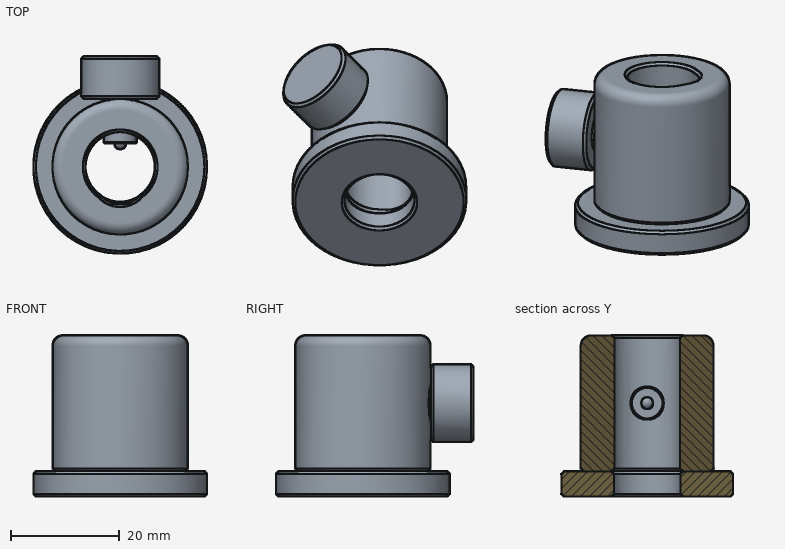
import cadquery as cq
import math

edge_chamfer = 0.5

flange_radius = 16.0
flange_thickness = 4.7
flange_bore_radius = 6.45

housing_radius = 12.47
housing_height = 25.02
housing_top_fillet = 2.0

bore_radius = 6.35
lobe_radius = 4.75
lobe_offset = 2.15

knob_radius = 7.2
knob_outer_y = 20.35
knob_length = 7.85
pin_radius = 3.05
pin_chamfer = 0.22
pin_end_y = 4.3
ball_radius = 1.1

seat_rim_radius = 3.42

screw_z = flange_thickness + housing_height / 2
knob_inner_y = knob_outer_y - knob_length
seat_tip_y = knob_inner_y - (seat_rim_radius - pin_radius)


def disc(radius, height, base_z):
    """Upright cylinder on the main axis."""
    return cq.Workplane("XY").workplane(offset=base_z).circle(radius).extrude(height)


def screw_rod(radius, start_y, end_y):
    """Cylinder on the screw axis, from start_y out to end_y."""
    plane = cq.Plane(origin=(0, start_y, screw_z), xDir=(1, 0, 0), normal=(0, 1, 0))
    return cq.Workplane(plane).circle(radius).extrude(end_y - start_y)


def make_flange():
    """Round base plate with a plain bore and broken edges."""
    plate = disc(flange_radius, flange_thickness, 0)
    plate = plate.cut(disc(flange_bore_radius, flange_thickness, 0))
    return plate.edges("%CIRCLE").chamfer(edge_chamfer)


def make_bore_cutter():
    """Two-circle bore of the housing, opening out at both ends."""
    kink_y = (lobe_radius**2 - bore_radius**2 - lobe_offset**2) / (2 * lobe_offset)
    kink_x = math.sqrt(bore_radius**2 - kink_y**2)
    return (
        cq.Workplane("XY")
        .workplane(offset=flange_thickness)
        .moveTo(-kink_x, kink_y)
        .threePointArc((0, bore_radius), (kink_x, kink_y))
        .threePointArc((0, -lobe_offset - lobe_radius), (-kink_x, kink_y))
        .close()
        .extrude(housing_height)
    )


def make_seat_cone():
    """Solid cone frustum that fills the countersink under the knob."""
    profile = [
        (0, seat_tip_y),
        (pin_radius, seat_tip_y),
        (seat_rim_radius, knob_inner_y),
        (0, knob_inner_y),
    ]
    cone = cq.Workplane("XY").polyline(profile).close().revolve(360, (0, 0), (0, 1))
    return cone.translate((0, 0, screw_z))


def make_housing():
    """Sleeve with a rounded top, a two-circle bore and a countersunk side hole."""
    sleeve = disc(housing_radius, housing_height, flange_thickness).cut(make_bore_cutter())
    sleeve = sleeve.faces("<Z").edges().chamfer(edge_chamfer)
    top_bore_rim = sleeve.faces(">Z").val().innerWires()[0].Edges()
    sleeve = sleeve.newObject(top_bore_rim).chamfer(edge_chamfer)
    top_outer_rim = sleeve.faces(">Z").val().outerWire().Edges()
    sleeve = sleeve.newObject(top_outer_rim).fillet(housing_top_fillet)
    sleeve = sleeve.cut(screw_rod(pin_radius, 0, knob_inner_y))
    return sleeve.cut(make_seat_cone())


def make_ball():
    """Ball centred on the end face of the pin."""
    return cq.Workplane("XY").sphere(ball_radius).translate((0, pin_end_y, screw_z))


def make_screw():
    """Knob and pin in one piece, with a round seat for the ball in the pin end."""
    knob = screw_rod(knob_radius, knob_inner_y, knob_outer_y)
    knob = knob.edges().chamfer(edge_chamfer)
    pin = screw_rod(pin_radius, pin_end_y, knob_inner_y)
    pin = pin.faces("<Y").edges().chamfer(pin_chamfer)
    return knob.union(pin).cut(make_ball())


def make_seat_ring():
    """Conical ring around the pin, between the knob and the housing."""
    return make_seat_cone().cut(screw_rod(pin_radius, seat_tip_y, knob_inner_y))


flange = make_flange()
housing = make_housing()
screw = make_screw()
ball = make_ball()
seat_ring = make_seat_ring()

result = cq.Compound.makeCompound(
    [flange.val(), housing.val(), screw.val(), ball.val(), seat_ring.val()]
)